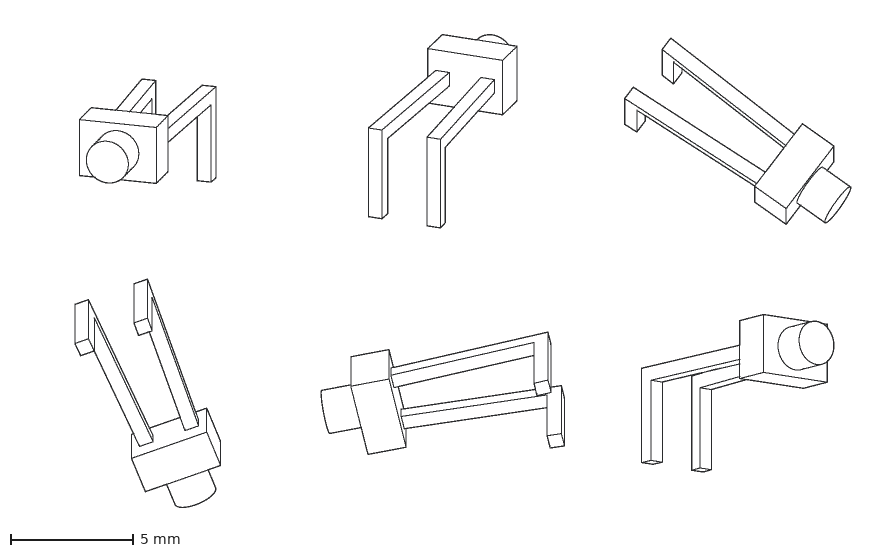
import cadquery as cq

body_width = 3.3
body_depth = 1.6
body_height = 2.42

plunger_diameter = 1.8
total_length = 9.65
lead_reach = 6.64
plunger_length = total_length - body_depth - lead_reach

total_height = 4.85
lead_size = 0.6
lead_root_x = 0.99
lead_tip_x = 1.29
lead_bottom_z = body_height / 2 - total_height
lead_end_y = body_depth + lead_reach


def make_body():
    body = cq.Workplane("XY").box(body_width, body_depth, body_height)
    return body.translate((0, body_depth / 2, 0))


def make_plunger():
    return cq.Workplane("XZ").circle(plunger_diameter / 2).extrude(plunger_length)


def make_lead(side):
    """Build one bent lead; side is -1 for left and 1 for right."""
    half = lead_size / 2
    splay = (lead_tip_x - lead_root_x) / lead_reach

    def plan_outline(start_y, bottom_z):
        """Slanted strip of the lead, from start_y to its end, on the plane at bottom_z."""
        start_x = side * (lead_tip_x - splay * (lead_end_y - start_y))
        tip_x = side * lead_tip_x
        return (
            cq.Workplane("XY")
            .workplane(offset=bottom_z)
            .polyline([
                (start_x - half, start_y),
                (start_x + half, start_y),
                (tip_x + half, lead_end_y),
                (tip_x - half, lead_end_y),
            ])
            .close()
        )

    run = plan_outline(body_depth, -half).extrude(lead_size)
    leg = plan_outline(lead_end_y - lead_size, lead_bottom_z).extrude(-half - lead_bottom_z)
    return run.union(leg)


result = make_body().union(make_plunger())
for side in (-1, 1):
    result = result.union(make_lead(side))